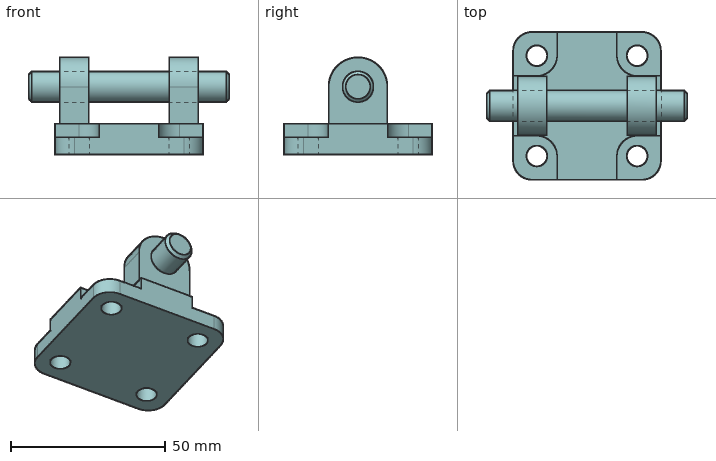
import cadquery as cq

plate_side = 48.0
plate_height = 10.0
plate_corner_radius = 6.25

pocket_floor = 5.5
pocket_size = 14.3
pocket_radius = 6.6
hole_spacing = 32.5
hole_diameter = 6.6

ear_thickness = 9.5
ear_gap = 26.0
ear_radius = 9.55
pin_axis_height = 22.0

pin_length = 65.0
pin_diameter = 10.0
pin_chamfer = 1.05


def make_plate():
    """Rounded square plate with its underside at Z = 0."""
    plate = cq.Workplane("XY").box(plate_side, plate_side, plate_height, centered=(True, True, False))
    return plate.edges("|Z").fillet(plate_corner_radius)


def make_corner_pocket(x_sign, y_sign):
    """Cutter that lowers one plate corner, rounded at its inner corner."""
    cutter_side = 2 * pocket_size
    return (
        cq.Workplane("XY")
        .workplane(offset=pocket_floor)
        .center(x_sign * plate_side / 2, y_sign * plate_side / 2)
        .rect(cutter_side, cutter_side)
        .extrude(plate_height - pocket_floor)
        .edges("|Z")
        .fillet(pocket_radius)
    )


def make_ear(x_start):
    """Round-topped ear standing on the plate, starting at x_start."""
    return (
        cq.Workplane("YZ", origin=(x_start, 0, 0))
        .moveTo(-ear_radius, plate_height)
        .lineTo(ear_radius, plate_height)
        .lineTo(ear_radius, pin_axis_height)
        .threePointArc((0, pin_axis_height + ear_radius), (-ear_radius, pin_axis_height))
        .close()
        .extrude(ear_thickness)
    )


def make_pin_cylinder():
    """Plain cylinder along the pin axis."""
    return (
        cq.Workplane("YZ", origin=(-pin_length / 2, 0, pin_axis_height))
        .circle(pin_diameter / 2)
        .extrude(pin_length)
    )


def make_bracket():
    """Plate and two ears in one piece, bored for the pin."""
    bracket = make_plate()
    for x_sign in (-1, 1):
        for y_sign in (-1, 1):
            bracket = bracket.cut(make_corner_pocket(x_sign, y_sign))
    mounting_holes = (
        cq.Workplane("XY")
        .rect(hole_spacing, hole_spacing, forConstruction=True)
        .vertices()
        .circle(hole_diameter / 2)
        .extrude(plate_height)
    )
    bracket = bracket.cut(mounting_holes)
    for x_start in (-ear_gap / 2 - ear_thickness, ear_gap / 2):
        bracket = bracket.union(make_ear(x_start))
    return bracket.cut(make_pin_cylinder())


def make_pin():
    """Straight pin with both ends chamfered."""
    return make_pin_cylinder().faces("<X or >X").chamfer(pin_chamfer)


bracket = make_bracket()
pin = make_pin()

result = cq.Compound.makeCompound([bracket.val(), pin.val()])